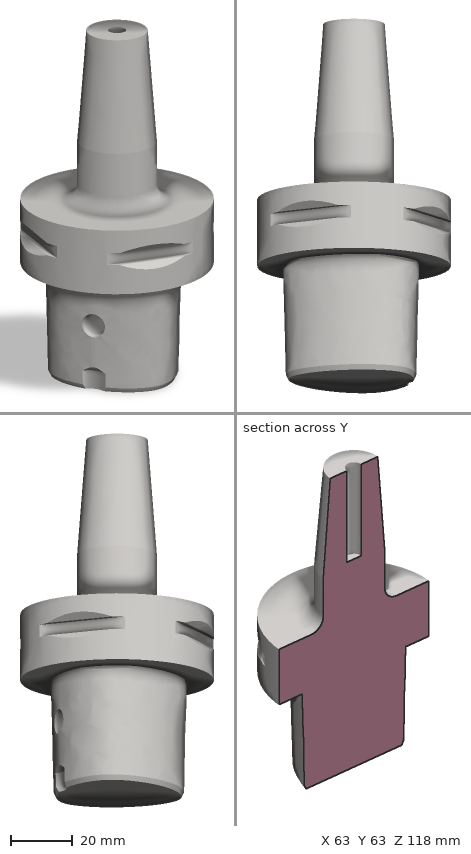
import cadquery as cq
import math

TOTAL_HEIGHT = 118.0
FLANGE_RADIUS = 31.5
FLANGE_BOTTOM = 38.0
FLANGE_TOP = 60.0

STEM_RADIUS = 13.0
STEM_TIP_RADIUS = 10.0
STEM_CONE_START = 79.9
STEM_FILLET = 5.0
BORE_RADIUS = 3.0
BORE_DEPTH = 36.0

SHANK_RADIUS = 22.1
LOBE_RISE = 1.3
COLLAR_BOTTOM = 35.0
TAPER_PER_RADIUS = 1 / 40
END_CHAMFER_HEIGHT = 1.7
END_CHAMFER_INSET = 0.8
LOBE_POINTS = 48

RELIEF_RADIUS = 22.2
RELIEF_BAND = 0.6
RELIEF_OUTER_RADIUS = SHANK_RADIUS + 2 * LOBE_RISE

SLOT_COUNT = 4
SLOT_WALL_DISTANCE = 27.6
SLOT_MID_HEIGHT = 50.2
SLOT_WALL_HEIGHT = 4.1
SLOT_SHELF_DISTANCE = 29.4

HOLE_RADIUS = 4.0
HOLE_TIP = HOLE_RADIUS * math.tan(math.radians(30))
HOLE_HEIGHT = 22.7
HOLE_DEPTH = 8.3
NOTCH_HEIGHT = 6.4
NOTCH_RADIUS = 5.3
NOTCH_TIP = NOTCH_RADIUS * math.tan(math.radians(40))
NOTCH_DEPTH = 2.0


def lobed_wire(radius, height):
    """Closed constant-width curve with one lobe pointing to +Y."""
    points = []
    for i in range(LOBE_POINTS):
        angle = 2 * math.pi * i / LOBE_POINTS
        support = radius + LOBE_RISE * math.cos(3 * angle)
        slope = -3 * LOBE_RISE * math.sin(3 * angle)
        x = support * math.sin(angle) + slope * math.cos(angle)
        y = support * math.cos(angle) - slope * math.sin(angle)
        points.append(cq.Vector(x, y, height))
    return cq.Wire.assembleEdges([cq.Edge.makeSpline(points, periodic=True)])


def lobed_section(bottom_radius, bottom, top_radius, top):
    wires = [lobed_wire(bottom_radius, bottom), lobed_wire(top_radius, top)]
    return cq.Workplane(obj=cq.Solid.makeLoft(wires, True))


def drill(radius, depth, tip):
    """Drill shape along +Z from the origin, with a conical tip beyond its depth."""
    profile = [(0, 0), (radius, 0), (radius, depth), (0, depth + tip)]
    return cq.Workplane("XZ").polyline(profile).close().revolve(360, (0, 0), (0, 1))


fillet_middle = STEM_FILLET * (1 - math.sqrt(0.5))
body = (
    cq.Workplane("XZ")
    .moveTo(0, FLANGE_BOTTOM)
    .lineTo(FLANGE_RADIUS, FLANGE_BOTTOM)
    .lineTo(FLANGE_RADIUS, FLANGE_TOP)
    .lineTo(STEM_RADIUS + STEM_FILLET, FLANGE_TOP)
    .threePointArc(
        (STEM_RADIUS + fillet_middle, FLANGE_TOP + fillet_middle),
        (STEM_RADIUS, FLANGE_TOP + STEM_FILLET),
    )
    .lineTo(STEM_RADIUS, STEM_CONE_START)
    .lineTo(STEM_TIP_RADIUS, TOTAL_HEIGHT)
    .lineTo(0, TOTAL_HEIGHT)
    .close()
    .revolve(360, (0, 0), (0, 1))
)
bore = cq.Workplane("XY", origin=(0, 0, TOTAL_HEIGHT)).circle(BORE_RADIUS).extrude(-BORE_DEPTH)
body = body.cut(bore)

slot_bottom = SLOT_MID_HEIGHT - SLOT_WALL_HEIGHT / 2
slot_top = SLOT_MID_HEIGHT + SLOT_WALL_HEIGHT / 2
slot_flare = FLANGE_RADIUS - SLOT_SHELF_DISTANCE
slot_profile = [
    (SLOT_WALL_DISTANCE, slot_bottom),
    (SLOT_SHELF_DISTANCE, slot_bottom),
    (FLANGE_RADIUS, slot_bottom - slot_flare),
    (FLANGE_RADIUS, slot_top + slot_flare),
    (SLOT_SHELF_DISTANCE, slot_top),
    (SLOT_WALL_DISTANCE, slot_top),
]
slot = cq.Workplane("XZ").polyline(slot_profile).close().extrude(FLANGE_RADIUS, both=True)
for i in range(SLOT_COUNT):
    body = body.cut(slot.rotate((0, 0, 0), (0, 0, 1), 45 + i * 360 / SLOT_COUNT))

taper_length = COLLAR_BOTTOM - END_CHAMFER_HEIGHT
taper_end_radius = SHANK_RADIUS - taper_length * TAPER_PER_RADIUS
end_radius = taper_end_radius - END_CHAMFER_INSET
shank = (
    lobed_section(end_radius, 0, taper_end_radius, END_CHAMFER_HEIGHT)
    .union(lobed_section(taper_end_radius, END_CHAMFER_HEIGHT, SHANK_RADIUS, COLLAR_BOTTOM))
    .union(lobed_section(SHANK_RADIUS, COLLAR_BOTTOM, SHANK_RADIUS, FLANGE_BOTTOM))
)

relief_band_bottom = FLANGE_BOTTOM - RELIEF_BAND
relief = (
    cq.Workplane("XZ")
    .moveTo(RELIEF_RADIUS, FLANGE_BOTTOM)
    .lineTo(RELIEF_OUTER_RADIUS, FLANGE_BOTTOM)
    .lineTo(RELIEF_OUTER_RADIUS, relief_band_bottom - (RELIEF_OUTER_RADIUS - RELIEF_RADIUS))
    .lineTo(RELIEF_RADIUS, relief_band_bottom)
    .close()
    .revolve(360, (0, 0), (0, 1))
)
shank = shank.cut(relief)

outside_face = -SHANK_RADIUS
hole_length = HOLE_DEPTH + LOBE_RISE
hole = drill(HOLE_RADIUS, hole_length, HOLE_TIP)
hole = hole.rotate((0, 0, 0), (1, 0, 0), -90).translate((0, outside_face, HOLE_HEIGHT))
notch_axis = LOBE_RISE - taper_end_radius + NOTCH_DEPTH - NOTCH_RADIUS
notch = drill(NOTCH_RADIUS, NOTCH_HEIGHT, NOTCH_TIP).translate((0, notch_axis, 0))
shank = shank.cut(hole).cut(notch)

result = body.union(shank)